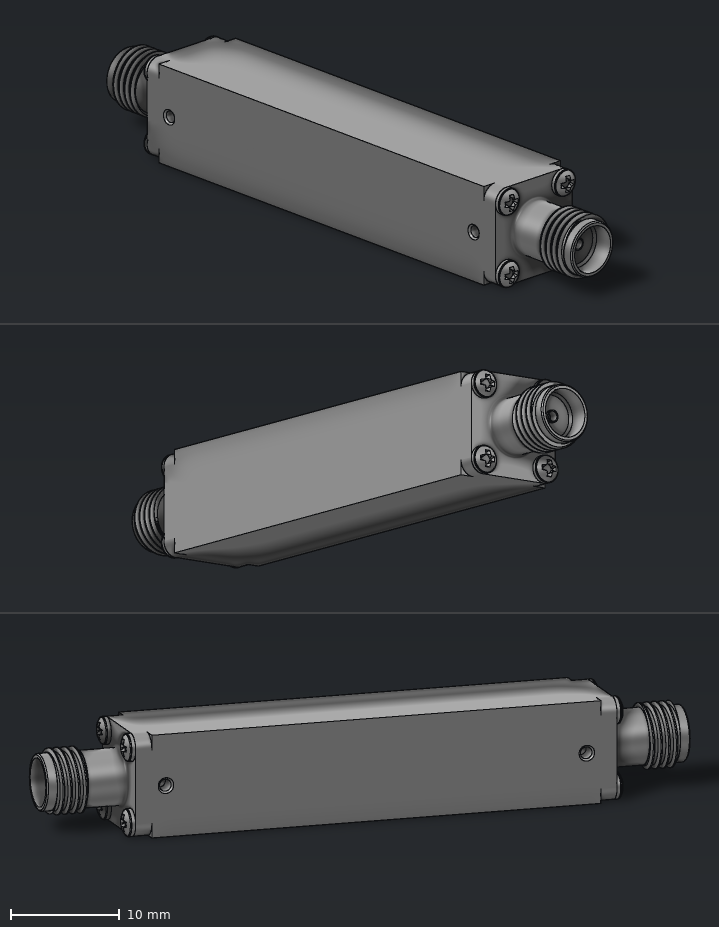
import cadquery as cq
import math

LENGTH = 62.2
WIDTH = 9.7
BODY_LENGTH = 43.45
FLANGE_THICKNESS = 1.55
FLANGE_CORNER_RADIUS = 1.4

BARREL_DIAMETER = 5.35
BARREL_ROOT_FILLET = 0.3
RIM_CHAMFER = 0.1
BORE_DIAMETER = 4.55
BORE_FLOOR_DIAMETER = 4.05
BORE_DEPTH = 1.85
BORE_TAPER = 0.25

CONTACT_DIAMETER = 1.2
CONTACT_HOLE_DIAMETER = 0.95
CONTACT_HEIGHT = 0.25
CONTACT_HOLE_DEPTH = 0.95

THREAD_DIAMETER = 6.2
THREAD_CORE_DIAMETER = 5.5
THREAD_PITCH = 0.75
THREAD_ROOT_WIDTH = 0.55
THREAD_CREST_WIDTH = 0.1
THREAD_LENGTH = 3.0
THREAD_TIP_GAP = 1.0
THREAD_EMBED = 0.1

SCREW_OFFSET = 3.55
WASHER_DIAMETER = 2.6
WASHER_THICKNESS = 0.4
SCREW_HEAD_DIAMETER = 2.5
SCREW_RIM_HEIGHT = 0.1
SCREW_DOME_HEIGHT = 0.45
CROSS_LENGTH = 1.75
CROSS_WIDTH = 0.6
CROSS_DEPTH = 0.5
CROSS_WALL_SLOPE = 25.0
CROSS_CENTRE_DIAMETER = 0.95

SIDE_HOLE_DIAMETER = 1.1
SIDE_HOLE_MOUTH_DIAMETER = 1.5
SIDE_HOLE_DEPTH = 1.85
SIDE_HOLE_OFFSET = 20.35
DRILL_POINT_ANGLE = 118.0

BARREL_LENGTH = (LENGTH - BODY_LENGTH) / 2 - FLANGE_THICKNESS


def cylinder(diameter, start, length):
    """Cylinder on the Z axis from height start."""
    return cq.Workplane("XY").workplane(offset=start).circle(diameter / 2).extrude(length)


def make_flange():
    """Rounded square plate whose outer face lies at Z = 0."""
    plate = cq.Workplane("XY").rect(WIDTH, WIDTH).extrude(-FLANGE_THICKNESS)
    return plate.edges("|Z").fillet(FLANGE_CORNER_RADIUS)


def make_barrel_on_flange():
    """Flange with a solid barrel standing on it, filleted at the root and chamfered at the rim."""
    barrel = cylinder(BARREL_DIAMETER, 0, BARREL_LENGTH)
    barrel = barrel.faces(">Z").edges().chamfer(RIM_CHAMFER)
    root_edge = cq.selectors.NearestToPointSelector((0, 0, 0))
    return make_flange().union(barrel).edges(root_edge).fillet(BARREL_ROOT_FILLET)


def make_thread():
    """Threaded sleeve: a core with a right-hand helical ridge, cut square at both ends."""
    core_radius = THREAD_CORE_DIAMETER / 2
    crest_radius = THREAD_DIAMETER / 2
    inner_radius = core_radius - THREAD_EMBED
    bottom = BARREL_LENGTH - THREAD_TIP_GAP - THREAD_LENGTH

    overrun = THREAD_ROOT_WIDTH / 2
    path = cq.Wire.makeHelix(THREAD_PITCH, THREAD_LENGTH + 2 * overrun, core_radius)
    ridge = (
        cq.Workplane("XZ")
        .moveTo(inner_radius, -THREAD_ROOT_WIDTH / 2)
        .lineTo(crest_radius, -THREAD_CREST_WIDTH / 2)
        .lineTo(crest_radius, THREAD_CREST_WIDTH / 2)
        .lineTo(inner_radius, THREAD_ROOT_WIDTH / 2)
        .close()
        .sweep(cq.Workplane(obj=path), isFrenet=True)
        .translate((0, 0, bottom - overrun))
    )
    envelope = cylinder(THREAD_DIAMETER + THREAD_EMBED, bottom, THREAD_LENGTH)
    core = cylinder(THREAD_CORE_DIAMETER, bottom - overrun, THREAD_LENGTH + 2 * overrun)
    return core.union(ridge).intersect(envelope)


def make_bore():
    """Space inside the barrel, leaving the hollow centre contact standing."""
    floor = BARREL_LENGTH - BORE_DEPTH - BORE_TAPER
    bore = (
        cq.Workplane("XZ")
        .moveTo(0, floor)
        .lineTo(BORE_FLOOR_DIAMETER / 2, floor)
        .lineTo(BORE_DIAMETER / 2, floor + BORE_TAPER)
        .lineTo(BORE_DIAMETER / 2, BARREL_LENGTH)
        .lineTo(0, BARREL_LENGTH)
        .close()
        .revolve(360, (0, 0), (0, 1))
    )
    contact_top = floor + CONTACT_HEIGHT
    contact = cylinder(CONTACT_DIAMETER, floor, CONTACT_HEIGHT)
    contact_hole = cylinder(CONTACT_HOLE_DIAMETER, contact_top, -CONTACT_HOLE_DEPTH)
    return bore.cut(contact).union(contact_hole)


def make_screw():
    """Washer and domed screw head with a cross recess, standing on Z = 0."""
    head_radius = SCREW_HEAD_DIAMETER / 2
    rim_top = WASHER_THICKNESS + SCREW_RIM_HEIGHT
    head_top = rim_top + SCREW_DOME_HEIGHT
    dome_radius = (head_radius**2 + SCREW_DOME_HEIGHT**2) / (2 * SCREW_DOME_HEIGHT)
    half_radius = head_radius / 2
    half_height = head_top - dome_radius + math.sqrt(dome_radius**2 - half_radius**2)
    head = (
        cq.Workplane("XZ")
        .lineTo(WASHER_DIAMETER / 2, 0)
        .lineTo(WASHER_DIAMETER / 2, WASHER_THICKNESS)
        .lineTo(head_radius, WASHER_THICKNESS)
        .lineTo(head_radius, rim_top)
        .threePointArc((half_radius, half_height), (0, head_top))
        .close()
        .revolve(360, (0, 0), (0, 1))
    )
    recess_plane = cq.Workplane("XY").workplane(offset=head_top)
    for size in ((CROSS_LENGTH, CROSS_WIDTH), (CROSS_WIDTH, CROSS_LENGTH)):
        arm = recess_plane.rect(*size).extrude(-CROSS_DEPTH, taper=CROSS_WALL_SLOPE)
        head = head.cut(arm)
    return head.cut(cylinder(CROSS_CENTRE_DIAMETER, head_top, -CROSS_DEPTH))


def make_end():
    """Complete connector end, pointing along +Z from the flange face."""
    end = make_barrel_on_flange().union(make_thread()).cut(make_bore())
    screw = make_screw()
    for x in (-SCREW_OFFSET, SCREW_OFFSET):
        for y in (-SCREW_OFFSET, SCREW_OFFSET):
            end = end.union(screw.translate((x, y, 0)))
    return end


def make_side_hole():
    """Drilled hole with a countersunk mouth, entering from the -Y side."""
    radius = SIDE_HOLE_DIAMETER / 2
    mouth_radius = SIDE_HOLE_MOUTH_DIAMETER / 2
    point_depth = radius / math.tan(math.radians(DRILL_POINT_ANGLE / 2))
    return (
        cq.Workplane("XY")
        .lineTo(mouth_radius, 0)
        .lineTo(radius, mouth_radius - radius)
        .lineTo(radius, SIDE_HOLE_DEPTH)
        .lineTo(0, SIDE_HOLE_DEPTH + point_depth)
        .close()
        .revolve(360, (0, 0), (0, 1))
        .translate((0, -WIDTH / 2, 0))
    )


result = cq.Workplane("XY").box(BODY_LENGTH, WIDTH, WIDTH)
side_hole = make_side_hole()
for hole_x in (-SIDE_HOLE_OFFSET, SIDE_HOLE_OFFSET):
    result = result.cut(side_hole.translate((hole_x, 0, 0)))

end = make_end().translate((0, 0, BODY_LENGTH / 2 + FLANGE_THICKNESS))
for turn in (-90, 90):
    result = result.union(end.rotate((0, 0, 0), (0, 1, 0), turn))